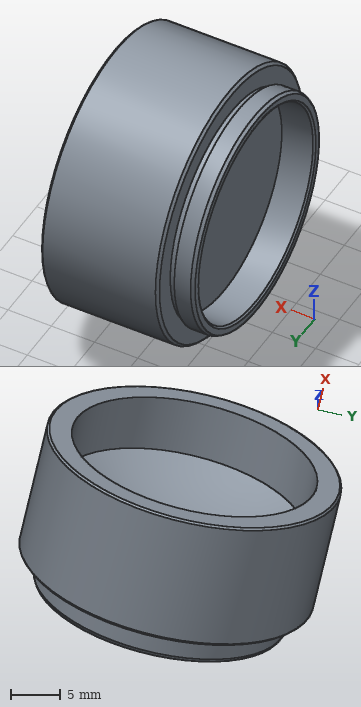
import cadquery as cq
import math


total_length = 16.52
flange_length = 2.3
body_start = 3.0

body_radius = 15.25
flange_radius = 13.15
neck_radius = 12.7
bore_radius = 12.0

flange_bevel_length = 0.4
flange_bevel_height = 0.2
bore_bevel = 0.2
body_front_bevel = 0.3
body_rear_bevel = 0.2

lens_front = 3.8
lens_radius = 12.7
lens_center_thickness = 3.5
concave_radius = 25.75

concave_depth = concave_radius - math.sqrt(concave_radius**2 - lens_radius**2)
lens_center_rear = lens_front + lens_center_thickness
lens_edge_rear = lens_center_rear + concave_depth


def turn_about_x(profile):
    """Revolve a closed (X, radius) profile a full turn about the X axis."""
    return profile.close().revolve(360, (0, 0, 0), (1, 0, 0))


def make_housing():
    """Stepped ring: a narrow front bore, then a lens recess open to the rear."""
    profile = (
        cq.Workplane("XY")
        .moveTo(0, flange_radius - flange_bevel_height)
        .lineTo(flange_bevel_length, flange_radius)
        .lineTo(flange_length, flange_radius)
        .lineTo(flange_length, neck_radius)
        .lineTo(body_start, neck_radius)
        .lineTo(body_start, body_radius - body_front_bevel)
        .lineTo(body_start + body_front_bevel, body_radius)
        .lineTo(total_length - body_rear_bevel, body_radius)
        .lineTo(total_length, body_radius - body_rear_bevel)
        .lineTo(total_length, lens_radius)
        .lineTo(lens_front, lens_radius)
        .lineTo(lens_front, bore_radius)
        .lineTo(bore_bevel, bore_radius)
        .lineTo(0, bore_radius + bore_bevel)
    )
    return turn_about_x(profile)


def make_lens():
    """Round lens, flat at the front and spherically hollowed at the rear."""
    arc_middle_radius = lens_radius / 2
    arc_middle_depth = concave_radius - math.sqrt(concave_radius**2 - arc_middle_radius**2)
    profile = (
        cq.Workplane("XY")
        .moveTo(lens_front, 0)
        .lineTo(lens_front, lens_radius)
        .lineTo(lens_edge_rear, lens_radius)
        .threePointArc(
            (lens_center_rear + arc_middle_depth, arc_middle_radius),
            (lens_center_rear, 0),
        )
    )
    return turn_about_x(profile)


housing = make_housing()
lens = make_lens()

result = cq.Compound.makeCompound([housing.val(), lens.val()])